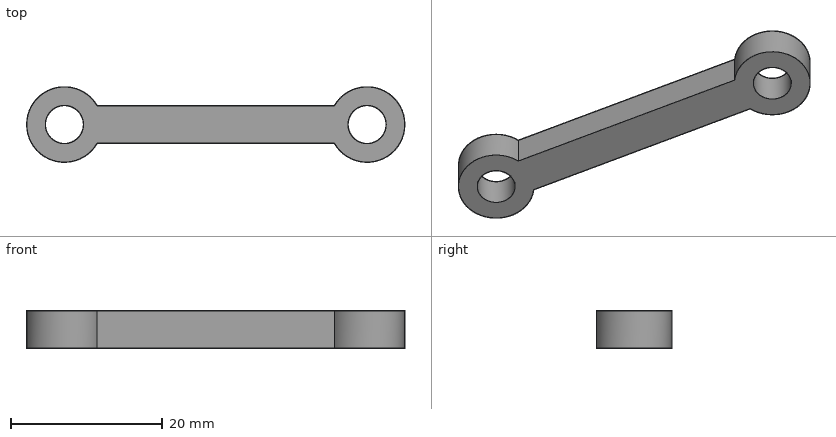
import cadquery as cq

overall_length = 50.0
thickness = 5.0
eye_diameter = 10.0
hole_diameter = 5.0
bar_width = 5.0

hole_spacing = overall_length - eye_diameter
eye_centers = [(-hole_spacing / 2, 0), (hole_spacing / 2, 0)]

bar = cq.Workplane("XY").rect(hole_spacing, bar_width).extrude(thickness)

eyes = cq.Workplane("XY").pushPoints(eye_centers).circle(eye_diameter / 2).extrude(thickness)

holes = cq.Workplane("XY").pushPoints(eye_centers).circle(hole_diameter / 2).extrude(thickness)

result = bar.union(eyes).cut(holes)